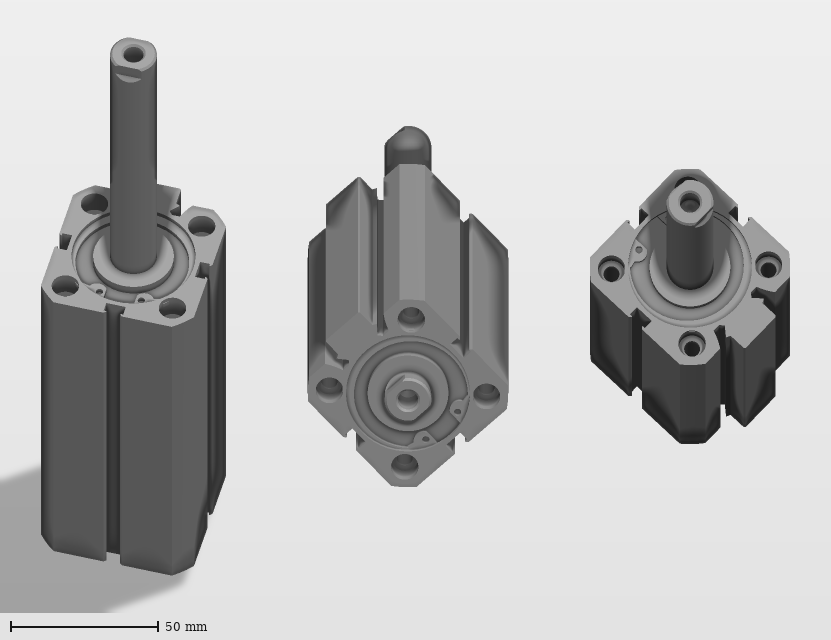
import cadquery as cq


HOUSING_WIDTH = 54.0
HOUSING_HEIGHT = 131.0
CORNER_RADIUS = 34.0
BORE_RADIUS = 21.0

SLOT_DEPTH = 4.5
SLOT_WIDTH = 6.9
SLOT_MOUTH = 5.0
SLOT_LIP = 1.0
SLOT_EDGE_CHAMFER = 0.7

RAIL_WIDTH = 15.7
RAIL_TOP = 33.0
RAIL_CHAMFER = 0.5
CHANNEL_FLOOR = 21.0
CHANNEL_MOUTH_X = 13.5
CHANNEL_FOOT_X = 10.5
CHANNEL_BULGE = (11.5, 23.5)
BARB_TOP_Y = 26.5
BARB_TIP = (9.3, 25.7)
BARB_NECK = (6.5, 22.5)

SCREW_OFFSET = 18.9
SCREW_RADIUS = 2.7
COUNTERBORE_RADIUS = 4.7
COUNTERBORE_DEPTH = 8.5

RING_RADIUS = 22.3
RING_RECESS = 1.7
RING_THICKNESS = 1.7
RING_OPENING_RADIUS = 19.4
RING_OPENING_SHIFT = 1.5
RING_GAP = 10.8
LUG_ROOT = (13.7, -14.7)
LUG_SHOULDER = (11.3, -15.2)
LUG_CREST = (8.0, -13.5)
LUG_END_Y = -15.2
LUG_HOLE_PLACE = (7.4, -17.0)
LUG_HOLE_RADIUS = 1.2

COVER_LENGTH = 10.5
COVER_BOSS_RADIUS = 13.7
COVER_STEP = RING_RECESS + RING_THICKNESS

ROD_DIAMETER = 16.0
ROD_RADIUS = ROD_DIAMETER / 2
ROD_LENGTH = 245.0
ROD_BOTTOM = -7.0
ROD_TOP = ROD_BOTTOM + ROD_LENGTH
ROD_CHAMFER = 0.7
FLAT_WIDTH = 13.0
FLAT_LENGTH = 4.7
THREAD_RADIUS = 3.5
THREAD_DEPTH = 12.2
COUNTERSINK_RADIUS = 4.2
COUNTERSINK_DEPTH = 0.7
THREAD_TIP = 4.0


def disc(radius, bottom, top):
    return cq.Workplane("XY").workplane(offset=bottom).circle(radius).extrude(top - bottom)


def mirror_to_bottom(body):
    """Mirror a body about the mid height of the housing."""
    return body.mirror("XY", (0, 0, HOUSING_HEIGHT / 2))


def sensor_slot():
    """Cutter for the slot in the -Y side: a narrow mouth that widens behind two lips."""
    side = -HOUSING_WIDTH / 2
    half_mouth = SLOT_MOUTH / 2
    half_width = SLOT_WIDTH / 2
    return (
        cq.Workplane("XY")
        .moveTo(0, side)
        .lineTo(half_mouth + SLOT_EDGE_CHAMFER, side)
        .lineTo(half_mouth, side + SLOT_EDGE_CHAMFER)
        .lineTo(half_mouth, side + SLOT_LIP)
        .lineTo(half_width, side + SLOT_LIP)
        .lineTo(half_width, side + SLOT_DEPTH)
        .lineTo(0, side + SLOT_DEPTH)
        .mirrorY()
        .extrude(HOUSING_HEIGHT)
    )


def rail_channel():
    """Cutter for the channel on the +X side of the rail, with the barb left standing."""
    side = HOUSING_WIDTH / 2
    half_rail = RAIL_WIDTH / 2
    return (
        cq.Workplane("XY")
        .moveTo(half_rail, side)
        .lineTo(CHANNEL_MOUTH_X, side)
        .threePointArc(CHANNEL_BULGE, (CHANNEL_FOOT_X, CHANNEL_FLOOR))
        .lineTo(half_rail, CHANNEL_FLOOR)
        .lineTo(*BARB_NECK)
        .lineTo(*BARB_TIP)
        .lineTo(half_rail, BARB_TOP_Y)
        .close()
        .extrude(HOUSING_HEIGHT)
    )


def screw_holes():
    """Cutter for the four corner holes, counterbored at both ends."""
    corners = cq.Workplane("XY").rect(2 * SCREW_OFFSET, 2 * SCREW_OFFSET, forConstruction=True).vertices()
    through = corners.circle(SCREW_RADIUS).extrude(HOUSING_HEIGHT)
    counterbores = corners.circle(COUNTERBORE_RADIUS).extrude(COUNTERBORE_DEPTH)
    return through.union(counterbores).union(mirror_to_bottom(counterbores))


def make_housing():
    body = cq.Workplane("XY").rect(HOUSING_WIDTH, HOUSING_WIDTH).extrude(HOUSING_HEIGHT)
    body = body.intersect(disc(CORNER_RADIUS, 0, HOUSING_HEIGHT))

    rail_depth = RAIL_TOP - CHANNEL_FLOOR
    rail = cq.Workplane("XY").center(0, CHANNEL_FLOOR + rail_depth / 2)
    rail = rail.rect(RAIL_WIDTH, rail_depth).extrude(HOUSING_HEIGHT)
    body = body.union(rail.faces(">Y").edges("|Z").chamfer(RAIL_CHAMFER))
    channel = rail_channel()
    body = body.cut(channel).cut(channel.mirror("YZ"))

    for angle in (-90, 0, 90):
        body = body.cut(sensor_slot().rotate((0, 0, 0), (0, 0, 1), angle))

    body = body.cut(disc(BORE_RADIUS, 0, HOUSING_HEIGHT))
    groove_top = HOUSING_HEIGHT - RING_RECESS
    groove = disc(RING_RADIUS, groove_top - RING_THICKNESS, groove_top)
    body = body.cut(groove).cut(mirror_to_bottom(groove))
    return body.cut(screw_holes())


def ring_lug(bottom):
    """Lug at the +X end of the ring, reaching past the ring edge, with its plier hole."""
    plane = cq.Workplane("XY").workplane(offset=bottom)
    gap_side = RING_GAP / 2
    lug = (
        plane.moveTo(*LUG_ROOT)
        .lineTo(*LUG_SHOULDER)
        .threePointArc(LUG_CREST, (gap_side, LUG_END_Y))
        .lineTo(gap_side, -RING_RADIUS)
        .lineTo(LUG_ROOT[0], -RING_RADIUS)
        .close()
        .extrude(RING_THICKNESS)
    )
    return lug.cut(plane.center(*LUG_HOLE_PLACE).circle(LUG_HOLE_RADIUS).extrude(RING_THICKNESS))


def make_top_ring():
    top = HOUSING_HEIGHT - RING_RECESS
    bottom = top - RING_THICKNESS
    outline = disc(RING_RADIUS, bottom, top)
    opening = disc(RING_OPENING_RADIUS, bottom, top).translate((0, -RING_OPENING_SHIFT, 0))
    clearing = cq.Workplane("XY").workplane(offset=bottom).center(0, -RING_RADIUS / 2)
    clearing = clearing.rect(2 * LUG_ROOT[0], RING_RADIUS).extrude(RING_THICKNESS)
    lug = ring_lug(bottom).intersect(outline)
    return outline.cut(opening).cut(clearing).union(lug).union(lug.mirror("YZ"))


def make_top_cover():
    step = HOUSING_HEIGHT - COVER_STEP
    cover = disc(BORE_RADIUS, HOUSING_HEIGHT - COVER_LENGTH, step)
    cover = cover.union(disc(COVER_BOSS_RADIUS, step, HOUSING_HEIGHT))
    return cover.cut(disc(ROD_RADIUS, 0, HOUSING_HEIGHT))


def rod_end_cut():
    """Cutter for the top rod end: two wrench flats with 45 degree run-outs, and the threaded hole."""
    half_flat = FLAT_WIDTH / 2
    flat_end = ROD_TOP - FLAT_LENGTH
    flat = (
        cq.Workplane("YZ")
        .moveTo(half_flat, ROD_TOP)
        .lineTo(half_flat, flat_end)
        .lineTo(ROD_RADIUS, flat_end - (ROD_RADIUS - half_flat))
        .lineTo(ROD_RADIUS, ROD_TOP)
        .close()
        .extrude(ROD_RADIUS, both=True)
    )
    hole_bottom = ROD_TOP - THREAD_DEPTH
    sink_bottom = ROD_TOP - COUNTERSINK_DEPTH
    hole = (
        cq.Workplane("XZ")
        .moveTo(0, hole_bottom - THREAD_TIP)
        .lineTo(THREAD_RADIUS, hole_bottom)
        .lineTo(THREAD_RADIUS, sink_bottom)
        .lineTo(COUNTERSINK_RADIUS, ROD_TOP)
        .lineTo(0, ROD_TOP)
        .close()
        .revolve(360, (0, 0), (0, 1))
    )
    return flat.union(flat.mirror("XZ")).union(hole)


def make_rod():
    rod = disc(ROD_RADIUS, ROD_BOTTOM, ROD_TOP).edges().chamfer(ROD_CHAMFER)
    end_cut = rod_end_cut()
    rod_middle = (0, 0, ROD_BOTTOM + ROD_LENGTH / 2)
    return rod.cut(end_cut).cut(end_cut.mirror("XY", rod_middle))


housing = make_housing()
rod = make_rod()
bodies = [housing.val(), rod.val()]

for top_body in (make_top_ring(), make_top_cover()):
    bodies.append(top_body.val())
    bodies.append(mirror_to_bottom(top_body).val())

result = cq.Compound.makeCompound(bodies)